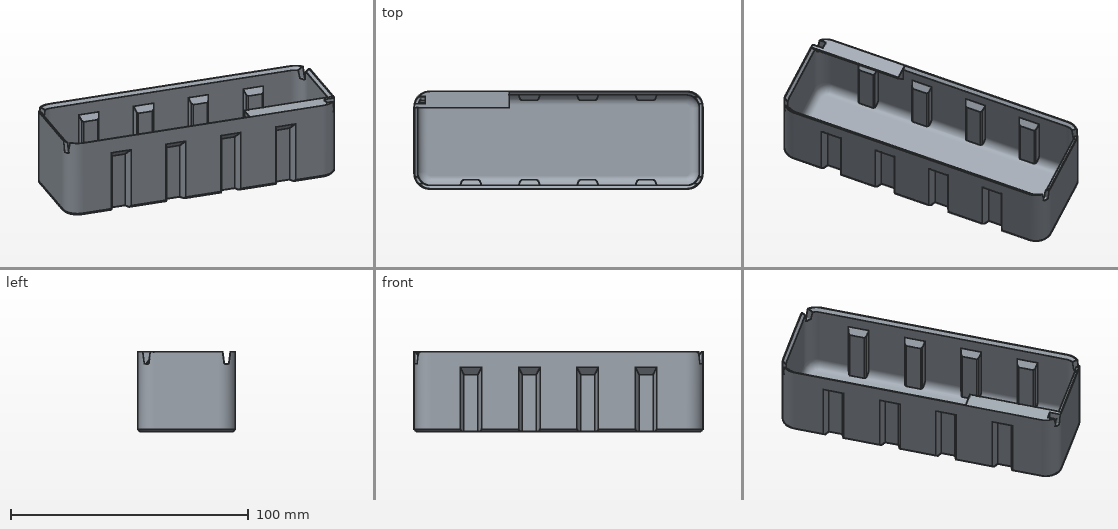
import cadquery as cq

length = 121.5
width = 41.2
height = 33.7

corner_radius = 6.9
wall = 1.6
floor_thickness = 0.7
floor_fillet = 4.0
foot_chamfer = 1.1

rim_flat = 0.2
rim_drop = 1.3

channel_count = 4
channel_pitch = 24.5
channel_mouth = 9.0
channel_drop = 6.6
recess_depth = 3.2
recess_side_run = 1.6
recess_top_run = 3.2
rib_height = 2.3
rib_side_run = 0.9
rib_top_run = 2.4
rib_edge_chamfer = 0.5

shelf_length = 40.0
shelf_depth = 6.9
shelf_lip = 0.9
shelf_drop = 8.0

notch_centre = 3.8
notch_mouth = 3.2
notch_foot = 1.8
notch_foot_radius = 0.4
notch_depth = 5.1
notch_reach = 4.7

half_length = length / 2
half_width = width / 2


def rounded_block(inset, z_bottom):
    """Block with rounded corners, inset from the outer walls and reaching up to the rim."""
    return (
        cq.Workplane("XY", origin=(0, 0, z_bottom))
        .rect(length - 2 * inset, width - 2 * inset)
        .extrude(height - z_bottom)
        .edges("|Z")
        .fillet(corner_radius - inset)
    )


def rim_bevel():
    """Solid that flares the mouth of the cavity from the inner wall to the rim."""
    lower = cq.Sketch().rect(length - 2 * wall, width - 2 * wall)
    lower = lower.vertices().fillet(corner_radius - wall)
    upper = cq.Sketch().rect(length - 2 * rim_flat, width - 2 * rim_flat)
    upper = upper.vertices().fillet(corner_radius - rim_flat)
    return (
        cq.Workplane("XY", origin=(0, 0, height - rim_drop))
        .placeSketch(lower, upper.moved(cq.Location(cq.Vector(0, 0, rim_drop))))
        .loft()
    )


def tapered_channel(face, depth, side_run, top_run):
    """Prism narrowing from a mouth at y = face towards +Y, sloped at its upper end."""
    top = height - channel_drop
    mouth = channel_mouth / 2
    tip = mouth - side_run
    plan = (
        cq.Workplane("XY")
        .polyline([(-mouth, face), (mouth, face), (tip, face + depth), (-tip, face + depth)])
        .close()
        .extrude(height)
    )
    profile = (
        cq.Workplane("YZ", origin=(-mouth, 0, 0))
        .polyline([(face, 0), (face, top), (face + depth, top - top_run), (face + depth, 0)])
        .close()
        .extrude(channel_mouth)
    )
    return plan.intersect(profile)


def on_both_long_walls(shape):
    """Row of copies along X on the -Y wall, mirrored onto the +Y wall."""
    row = cq.Workplane("XY")
    for i in range(channel_count):
        x = (i - (channel_count - 1) / 2) * channel_pitch
        row = row.add(shape.translate((x, 0, 0)))
        row = row.add(shape.mirror("XZ").translate((x, 0, 0)))
    return row.combine()


def label_shelf():
    """Flat shelf level with the rim, carried by a sloping underside."""
    front = half_width - shelf_depth
    back = half_width
    slope_end = half_width - wall
    profile = [
        (front, height),
        (back, height),
        (back, height - rim_drop),
        (slope_end, height - rim_drop),
        (slope_end, height - shelf_drop),
        (front, height - shelf_lip),
    ]
    return (
        cq.Workplane("YZ", origin=(-half_length, 0, 0))
        .polyline(profile)
        .close()
        .extrude(shelf_length)
    )


def rim_notch():
    """Tapered slot cut along X through the rim at the -X, +Y corner."""
    y = half_width - notch_centre
    bottom = height - notch_depth
    profile = [
        (y - notch_mouth / 2, height),
        (y + notch_mouth / 2, height),
        (y + notch_foot / 2, bottom),
        (y - notch_foot / 2, bottom),
    ]
    return (
        cq.Workplane("YZ", origin=(-half_length, 0, 0))
        .polyline(profile)
        .close()
        .extrude(notch_reach)
        .edges("|X and <Z")
        .fillet(notch_foot_radius)
    )


outer = rounded_block(0, 0).faces("<Z").edges().chamfer(foot_chamfer)
cavity = rounded_block(wall, floor_thickness).faces("<Z").edges().fillet(floor_fillet)
bin_shell = outer.cut(cavity).cut(rim_bevel())

rib = tapered_channel(-half_width + wall, rib_height, rib_side_run, rib_top_run)
rib = rib.faces(">Y").edges("|Z").chamfer(rib_edge_chamfer)
recess = tapered_channel(-half_width, recess_depth, recess_side_run, recess_top_run)
ribbed = bin_shell.union(on_both_long_walls(rib)).cut(on_both_long_walls(recess))

result = ribbed.union(label_shelf().intersect(rounded_block(0, 0)))

back_notch = rim_notch()
for notch in (back_notch, back_notch.mirror("YZ")):
    result = result.cut(notch).cut(notch.mirror("XZ"))